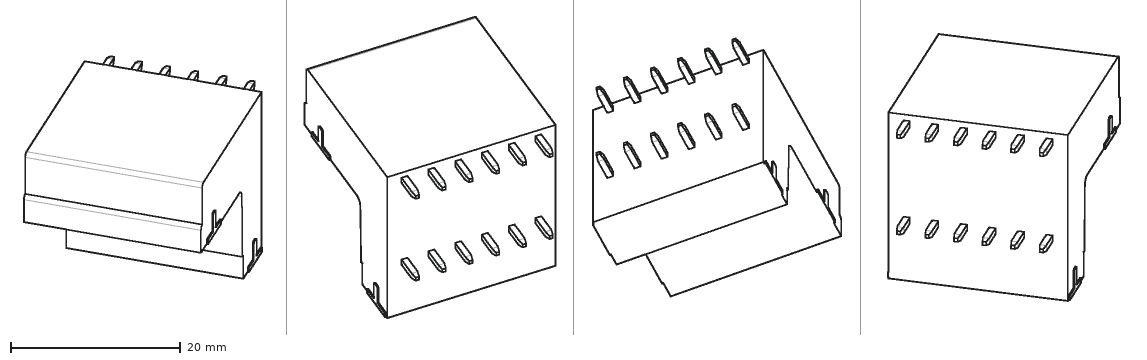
import cadquery as cq
import math

body_width = 22.09
body_depth = 22.65
body_height = 21.9

block_height = 9.22
front_step = 0.47
lip_top = 5.58
edge_radius = 0.5

leg_top_depth = 7.41
leg_waist_depth = 7.18
foot_depth = 6.9
foot_height = 3.2
inner_radius = 1.0

rib_thickness = 0.15
rib_base_length = 4.98
rib_base_height = 0.6
rib_stem_width = 1.0
rib_stem_height = 3.07
rib_stem_offset = 0.05
rib_stem_radius = 0.25
rib_base_radius = 0.13
leg_rib_center = 2.8
block_rib_center = 18.0

pin_count = 6
pin_pitch = 3.5
pin_size = 0.79
pin_tip_size = 0.45
total_length = 26.2
pin_length = total_length - body_depth
pin_tip_length = 0.79
pin_root = 0.25
pin_row_depths = (1.18, 13.89)


def make_body():
    face_y = front_step - body_depth
    lip_round_height = math.sqrt(edge_radius**2 - (edge_radius - front_step) ** 2)
    profile = (
        cq.Workplane("YZ")
        .moveTo(0, 0)
        .lineTo(face_y, 0)
        .lineTo(face_y, -lip_top)
        .radiusArc((-body_depth, -lip_top - lip_round_height), -edge_radius)
        .lineTo(-body_depth, -block_height)
        .lineTo(-leg_top_depth, -block_height)
        .lineTo(-leg_waist_depth, foot_height - body_height)
        .lineTo(-foot_depth, foot_height - body_height)
        .lineTo(-foot_depth, -body_height)
        .lineTo(0, -body_height)
        .close()
    )
    body = profile.extrude(body_width / 2, both=True)

    def cross_edge(y, z):
        """Selects the edge along X through the given profile corner."""
        return cq.selectors.NearestToPointSelector((0, y, z))

    body = body.edges(cross_edge(face_y, 0)).fillet(edge_radius)
    return body.edges(cross_edge(-leg_top_depth, -block_height)).fillet(inner_radius)


def make_rib_pair(center, bottom):
    """T-shaped ribs on both sides, standing on the given bottom level."""
    length = body_width + 2 * rib_thickness
    base = (
        cq.Workplane("XY")
        .box(length, rib_base_length, rib_base_height, centered=(True, True, False))
        .edges("|X and >Z")
        .fillet(rib_base_radius)
    )
    stem = (
        cq.Workplane("XY")
        .box(length, rib_stem_width, rib_stem_height, centered=(True, True, False))
        .edges("|X and >Z")
        .fillet(rib_stem_radius)
        .translate((0, -rib_stem_offset, 0))
    )
    return base.union(stem).translate((0, -center, bottom))


def make_pin(x, z):
    """Square pin with a tapered tip, pointing out of the back face."""
    shank_length = pin_length - pin_tip_length
    shank = cq.Workplane("XZ").rect(pin_size, pin_size).extrude(-shank_length - pin_root)
    tip = (
        cq.Workplane("XZ", origin=(0, shank_length + pin_root, 0))
        .rect(pin_size, pin_size)
        .workplane(offset=-pin_tip_length)
        .rect(pin_tip_size, pin_tip_size)
        .loft()
    )
    return shank.union(tip).translate((x, -pin_root, z))


result = make_body()
result = result.union(make_rib_pair(block_rib_center, -block_height))
result = result.union(make_rib_pair(leg_rib_center, -body_height))
for row_depth in pin_row_depths:
    for index in range(pin_count):
        pin_x = (index - (pin_count - 1) / 2) * pin_pitch
        result = result.union(make_pin(pin_x, -row_depth))